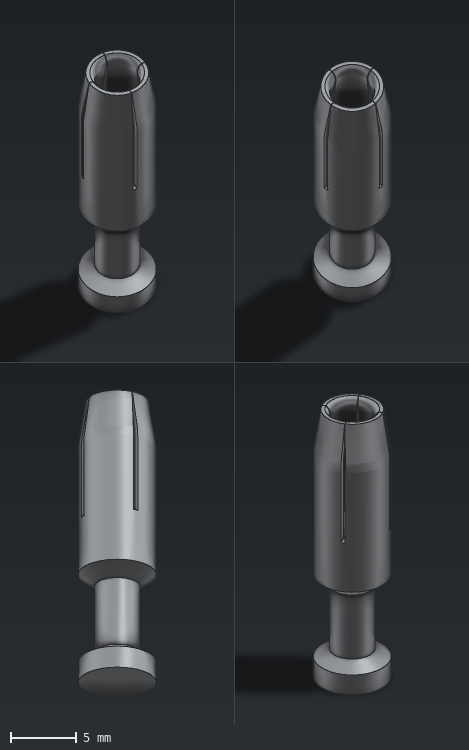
import cadquery as cq
import math

total_height = 23.4
foot_edge_height = 1.75
neck_bottom_height = 2.45
neck_top_height = 8.03
body_bottom_height = 9.0
slot_bottom_height = 13.3
bend_start_height = 19.45
bend_end_height = 20.22
throat_height = 22.53

body_radius = 3.0
neck_radius = 1.75
bend_end_radius = 2.92
tip_radius = 2.4

wall_thickness = 0.87
bore_radius = body_radius - wall_thickness
bore_bend_end_radius = bend_end_radius - wall_thickness
throat_radius = 1.73
mouth_radius = 2.08
drill_point_angle = 118.0
drill_point_depth = bore_radius / math.tan(math.radians(drill_point_angle / 2))
bore_bottom_height = slot_bottom_height

slot_width = 0.35
slot_tip_width = 0.02
slot_count = 4


def make_outer_body():
    """Turned foot, neck and sleeve with an inward-bent tip."""
    profile = (
        cq.Workplane("XZ")
        .lineTo(body_radius, 0)
        .lineTo(body_radius, foot_edge_height)
        .lineTo(neck_radius, neck_bottom_height)
        .lineTo(neck_radius, neck_top_height)
        .lineTo(body_radius, body_bottom_height)
        .lineTo(body_radius, bend_start_height)
        .tangentArcPoint((bend_end_radius, bend_end_height), relative=False)
        .lineTo(tip_radius, total_height)
        .lineTo(0, total_height)
        .close()
    )
    return profile.revolve(360, (0, 0), (0, 1))


def make_bore():
    """Blind bore with a conical bottom and a rounded mouth."""
    profile = (
        cq.Workplane("XZ")
        .moveTo(0, bore_bottom_height - drill_point_depth)
        .lineTo(bore_radius, bore_bottom_height)
        .lineTo(bore_radius, bend_start_height)
        .tangentArcPoint((bore_bend_end_radius, bend_end_height), relative=False)
        .lineTo(throat_radius, throat_height)
        .tangentArcPoint((mouth_radius, total_height), relative=False)
        .lineTo(0, total_height)
        .close()
    )
    return profile.revolve(360, (0, 0), (0, 1))


def make_slot():
    """Slot through the -Y wall, parallel through the bend and closing toward the tip."""
    return (
        cq.Workplane("XZ")
        .moveTo(-slot_width / 2, slot_bottom_height)
        .lineTo(slot_width / 2, slot_bottom_height)
        .lineTo(slot_width / 2, bend_end_height)
        .lineTo(slot_tip_width / 2, total_height)
        .lineTo(-slot_tip_width / 2, total_height)
        .lineTo(-slot_width / 2, bend_end_height)
        .close()
        .extrude(body_radius + wall_thickness)
    )


result = make_outer_body().cut(make_bore())
for index in range(slot_count):
    slot = make_slot().rotate((0, 0, 0), (0, 0, 1), index * 360 / slot_count)
    result = result.cut(slot)